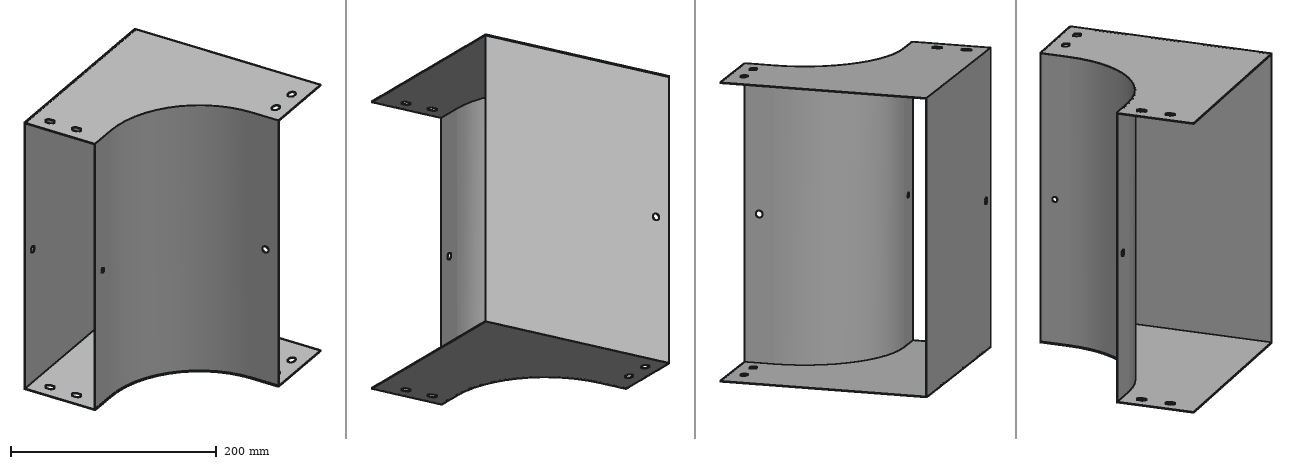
import cadquery as cq

side = 210.0
height = 300.0
wall = 1.0

channel_width = 80.0
straight_length = 30.0
inner_radius = side - channel_width - straight_length

slot_length = 10.0
slot_width = 7.0
slot_end_distance = 15.0
slot_pitch = 30.0
front_slot_x = 20.0
back_slot_y = side - 30.0

hole_end_distance = 15.0
large_hole_diameter = 7.0
small_hole_diameter = 5.0
cutter_length = 6.0


def bend_outline(x_start, width, radius):
    """Plan of the bend, from x_start to a concave corner of the given radius."""
    return (
        cq.Workplane("XY")
        .moveTo(x_start, 0)
        .lineTo(width, 0)
        .lineTo(width, straight_length)
        .radiusArc((side - straight_length, side - width), radius)
        .lineTo(side, side - width)
        .lineTo(side, side)
        .lineTo(x_start, side)
        .close()
    )


def slot_cutter(x, y, angle):
    return (
        cq.Workplane("XY")
        .center(x, y)
        .slot2D(slot_length, slot_width, angle)
        .extrude(height)
    )


def hole_cutter(plane, diameter, center):
    """Short round cutter centered on a wall."""
    return (
        cq.Workplane(plane, origin=center)
        .circle(diameter / 2)
        .extrude(cutter_length / 2, both=True)
    )


body = bend_outline(0, channel_width, inner_radius).extrude(height)
cavity = (
    bend_outline(wall, channel_width - wall, inner_radius + wall)
    .extrude(height - 2 * wall)
    .translate((0, 0, wall))
)
result = body.cut(cavity)

for i in range(2):
    offset = i * slot_pitch
    result = result.cut(slot_cutter(front_slot_x + offset, slot_end_distance, 0))
    result = result.cut(slot_cutter(side - slot_end_distance, back_slot_y - offset, 90))

mid_height = height / 2
outer_center = (0, hole_end_distance, mid_height)
front_flange_center = (channel_width, hole_end_distance, mid_height)
side_flange_center = (side - hole_end_distance, side - channel_width, mid_height)
result = result.cut(hole_cutter("YZ", large_hole_diameter, outer_center))
result = result.cut(hole_cutter("YZ", small_hole_diameter, front_flange_center))
result = result.cut(hole_cutter("XZ", large_hole_diameter, side_flange_center))